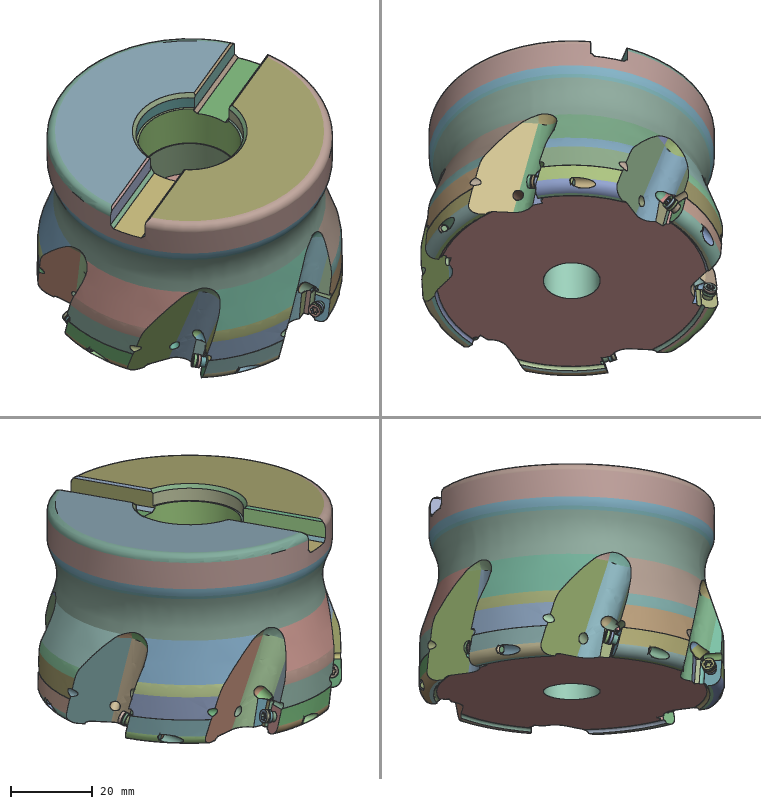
import cadquery as cq
import math

FLUTES = 6
PITCH_ANGLE = 360 / FLUTES

HEIGHT = 49.25
RIM_RADIUS = 37.4
CAP_RIM_STEP = 0.1
RIM_STEP_Z = 6.9
RIM_FILLET = 2.55
COLLAR_RADIUS = 35.0
COLLAR_FILLET = 2.0
COLLAR_LOW_Z = 40.35
WAIST_Z = 31.0
WAIST_RADIUS = 32.6
WAIST_ARC = 15.0
UPPER_CONE_ANGLE = math.radians(25)
LOWER_CONE_ANGLE = math.radians(18.8)
UPPER_CONE_TOP_Z = 38.2
RIM_ARC_TOP_Z = 15.9
RIM_ARC_LOW_Z = 12.8
END_RECESS_RADIUS = 33.15
END_RECESS_DEPTH = 0.8
END_RECESS_FILLET = 0.75

BORE_MOUTH_RADIUS = 13.2
BORE_MOUTH_CHAMFER = 0.9
BORE_MOUTH_DEPTH = 4.1
BORE_RADIUS = 12.65
BORE_UPPER_DEPTH = 15.35
BORE_LOWER_RADIUS = 12.4
BORE_FLOOR_Z = 23.95
BOLT_HOLE_RADIUS = 6.95
BOLT_HOLE_CHAMFER = 0.3

SLOT_WIDTH = 9.35
SLOT_DEPTH = 5.55
SLOT_FLOOR_CHAMFER = 0.9
SLOT_EDGE_CHAMFER = 0.5

FLUTE_FILLET = 4.4
FLUTE_WALL_LEAN = math.radians(19)
FLUTE_SEAM_LOW = cq.Vector(29.9, -5.3, 7.0)
FLUTE_SEAM_TOP = cq.Vector(32.2, 0, 25.1)
FLUTE_FLOOR_SLOPE = 0.34
FLUTE_REACH = 44.9

SEAT_CENTER = cq.Vector(34.9, 1.35, 4.3)
SEAT_TILT = math.radians(14.3)
SEAT_TURN = math.radians(1.2)
SEAT_INNER_RADIUS = 30.8
SEAT_TOP = 3.3
SEAT_BOTTOM = -8.5
SEAT_CLEARANCE = 6.0
SEAT_GROOVE_RADIUS = 0.6
SEAT_GROOVE_X = 32.6
RELIEF_START = cq.Vector(31.65, -0.4, 9.8)
RELIEF_END = cq.Vector(33.15, 1.1, 7.8)
RELIEF_RADIUS = 1.7
TAIL_START = cq.Vector(32.6, 1.8, 7.7)
TAIL_RADIUS = 0.9

SCREW_RADIUS = 1.3
SCREW_HOLE_REACH = 22.45
SCREW_TIP = 8.6
SCREW_TIP_CHAMFER = 0.45
SCREW_HEAD_RADIUS = 1.65
SCREW_NECK_RADIUS = 1.35
SCREW_FLANGE_BASE = 1.35
SCREW_FLANGE_TOP = 2.1
SCREW_HEAD_BASE = 2.3
SCREW_HEAD_TOP = 3.15
SOCKET_RADIUS = 0.75
SOCKET_LOBES = 6
SOCKET_LOBE_RADIUS = 0.3
SOCKET_DEPTH = 0.9

COOLANT_RADIUS = 1.3
COOLANT_ENTRY_RADIUS = 10.85
COOLANT_ENTRY_ANGLE = math.radians(-69)
COOLANT_EXIT = cq.Vector(30.9, -5.6, 4.7)
COOLANT_OVERRUN = 3.0


def rod(start, end, radius):
    """Solid cylinder between two points."""
    axis = end - start
    return cq.Workplane(cq.Solid.makeCylinder(radius, axis.Length, start, axis))


def around(shape, index):
    """Turn a shape about the cutter axis to the flute with this index."""
    return shape.rotate((0, 0, 0), (0, 0, 1), index * PITCH_ANGLE)


def body_blank():
    """Waisted body of revolution, turned about Z."""
    sin_up, cos_up = math.sin(UPPER_CONE_ANGLE), math.cos(UPPER_CONE_ANGLE)
    sin_low, cos_low = math.sin(LOWER_CONE_ANGLE), math.cos(LOWER_CONE_ANGLE)
    upper_cone_low_z = WAIST_Z + WAIST_ARC * sin_up
    upper_cone_low_r = WAIST_RADIUS + WAIST_ARC * (1 - cos_up)
    upper_cone_top_r = upper_cone_low_r + (UPPER_CONE_TOP_Z - upper_cone_low_z) * math.tan(UPPER_CONE_ANGLE)
    lower_cone_top_z = WAIST_Z - WAIST_ARC * sin_low
    lower_cone_top_r = WAIST_RADIUS + WAIST_ARC * (1 - cos_low)
    lower_cone_low_r = lower_cone_top_r + (lower_cone_top_z - RIM_ARC_TOP_Z) * math.tan(LOWER_CONE_ANGLE)
    cap_radius = RIM_RADIUS - CAP_RIM_STEP
    profile = (
        cq.Workplane("XZ")
        .lineTo(RIM_RADIUS - RIM_FILLET, 0)
        .tangentArcPoint((RIM_RADIUS, RIM_FILLET), relative=False)
        .lineTo(RIM_RADIUS, RIM_STEP_Z)
        .lineTo(cap_radius, RIM_STEP_Z)
        .lineTo(cap_radius, RIM_ARC_LOW_Z)
        .tangentArcPoint((lower_cone_low_r, RIM_ARC_TOP_Z), relative=False)
        .lineTo(lower_cone_top_r, lower_cone_top_z)
        .threePointArc((WAIST_RADIUS, WAIST_Z), (upper_cone_low_r, upper_cone_low_z))
        .lineTo(upper_cone_top_r, UPPER_CONE_TOP_Z)
        .tangentArcPoint((COLLAR_RADIUS, COLLAR_LOW_Z), relative=False)
        .lineTo(COLLAR_RADIUS, HEIGHT - COLLAR_FILLET)
        .tangentArcPoint((COLLAR_RADIUS - COLLAR_FILLET, HEIGHT), relative=False)
        .lineTo(0, HEIGHT)
        .close()
    )
    return profile.revolve(360, (0, 0, 0), (0, 1, 0))


def end_recess():
    """Shallow recess in the cutting end, with a rounded rim."""
    mouth_radius = END_RECESS_RADIUS + END_RECESS_FILLET
    profile = (
        cq.Workplane("XZ")
        .lineTo(mouth_radius, 0)
        .radiusArc((END_RECESS_RADIUS, END_RECESS_FILLET), -END_RECESS_FILLET)
        .lineTo(END_RECESS_RADIUS, END_RECESS_DEPTH)
        .lineTo(0, END_RECESS_DEPTH)
        .close()
    )
    return profile.revolve(360, (0, 0, 0), (0, 1, 0))


def bore():
    """Stepped arbor bore with a bolt hole through its floor."""
    mouth_z = HEIGHT - BORE_MOUTH_DEPTH
    step_z = HEIGHT - BORE_UPPER_DEPTH
    profile = (
        cq.Workplane("XZ")
        .lineTo(BOLT_HOLE_RADIUS, 0)
        .lineTo(BOLT_HOLE_RADIUS, BORE_FLOOR_Z - BOLT_HOLE_CHAMFER)
        .lineTo(BOLT_HOLE_RADIUS + BOLT_HOLE_CHAMFER, BORE_FLOOR_Z)
        .lineTo(BORE_LOWER_RADIUS, BORE_FLOOR_Z)
        .lineTo(BORE_LOWER_RADIUS, step_z)
        .lineTo(BORE_RADIUS, step_z)
        .lineTo(BORE_RADIUS, mouth_z)
        .lineTo(BORE_MOUTH_RADIUS, mouth_z)
        .lineTo(BORE_MOUTH_RADIUS, HEIGHT - BORE_MOUTH_CHAMFER)
        .lineTo(BORE_MOUTH_RADIUS + BORE_MOUTH_CHAMFER, HEIGHT)
        .lineTo(0, HEIGHT)
        .close()
    )
    return profile.revolve(360, (0, 0, 0), (0, 1, 0))


def drive_slot():
    """Slot across the mounting face along Y, chamfered at floor and edges."""
    half = SLOT_WIDTH / 2
    floor_z = HEIGHT - SLOT_DEPTH
    return (
        cq.Workplane("XZ")
        .moveTo(-half + SLOT_FLOOR_CHAMFER, floor_z)
        .lineTo(half - SLOT_FLOOR_CHAMFER, floor_z)
        .lineTo(half, floor_z + SLOT_FLOOR_CHAMFER)
        .lineTo(half, HEIGHT - SLOT_EDGE_CHAMFER)
        .lineTo(half + SLOT_EDGE_CHAMFER, HEIGHT)
        .lineTo(-half - SLOT_EDGE_CHAMFER, HEIGHT)
        .lineTo(-half, HEIGHT - SLOT_EDGE_CHAMFER)
        .lineTo(-half, floor_z + SLOT_FLOOR_CHAMFER)
        .close()
        .extrude(RIM_RADIUS, both=True)
    )


def flute():
    """Chip flute: flat floor, leaning wall and sloping top, joined by ball-nose fillets."""
    axis = (FLUTE_SEAM_TOP - FLUTE_SEAM_LOW).normalized()
    floor_direction = cq.Vector(-FLUTE_FLOOR_SLOPE, 1, 0)
    outward = floor_direction.cross(axis).normalized()
    across = axis.cross(outward)
    floor = cq.Plane(FLUTE_SEAM_TOP, xDir=across, normal=outward)

    level_slope = -across.z / axis.z
    top_offset = FLUTE_FILLET * math.hypot(1, level_slope)

    def top_at(position):
        return top_offset + position * level_slope

    corner_angle = math.pi / 2 - FLUTE_WALL_LEAN
    wall_base = FLUTE_FILLET / math.tan(corner_angle / 2)
    wall_rim = wall_base - FLUTE_REACH * math.tan(FLUTE_WALL_LEAN)

    def outline(wall):
        return [
            (wall, -FLUTE_REACH),
            (wall, top_at(wall)),
            (-FLUTE_REACH, top_at(-FLUTE_REACH)),
            (-FLUTE_REACH, -FLUTE_REACH),
        ]

    tool = (
        cq.Workplane(floor)
        .polyline(outline(wall_base))
        .close()
        .workplane(offset=FLUTE_REACH)
        .polyline(outline(wall_rim))
        .close()
        .loft(ruled=True)
    )
    corner = floor.toWorldCoords((wall_base, top_at(wall_base), 0))
    corner_edges = [
        edge for edge in tool.edges().vals()
        if min((vertex.Center() - corner).Length for vertex in edge.Vertices()) < FLUTE_FILLET
    ]
    return tool.newObject(corner_edges).fillet(FLUTE_FILLET)


def seat_plane(offset=0):
    """Plane parallel to the insert seat; Z is the screw axis, X points radially out."""
    turn_sin = math.sin(SEAT_TURN)
    turn_cos = math.cos(SEAT_TURN)
    normal = cq.Vector(-turn_sin * math.cos(SEAT_TILT), -turn_cos * math.cos(SEAT_TILT), math.sin(SEAT_TILT))
    return cq.Plane(SEAT_CENTER + normal * offset, xDir=(turn_cos, -turn_sin, 0), normal=normal)


def insert_pocket():
    """Seat pocket with a corner groove, a ball-nosed relief above and a rounded top edge."""
    inner = SEAT_INNER_RADIUS - SEAT_CENTER.x
    outer = RIM_RADIUS - SEAT_CENTER.x + SEAT_CLEARANCE
    pocket = (
        cq.Workplane(seat_plane())
        .moveTo(inner, SEAT_BOTTOM)
        .lineTo(outer, SEAT_BOTTOM)
        .lineTo(outer, SEAT_TOP)
        .lineTo(inner, SEAT_TOP)
        .close()
        .extrude(SEAT_CLEARANCE)
    )
    groove_x = SEAT_GROOVE_X - SEAT_CENTER.x
    groove = rod(
        seat_plane().toWorldCoords((groove_x, SEAT_BOTTOM, 0)),
        seat_plane().toWorldCoords((groove_x, SEAT_TOP, 0)),
        SEAT_GROOVE_RADIUS,
    )
    relief = rod(RELIEF_START, RELIEF_END, RELIEF_RADIUS)
    relief_nose = cq.Workplane("XY").sphere(RELIEF_RADIUS).translate(RELIEF_START)
    tail = rod(TAIL_START, TAIL_START + cq.Vector(SEAT_CLEARANCE, 0, 0), TAIL_RADIUS)
    return [pocket, groove, relief, relief_nose, tail]


def screw_hole():
    """Straight drilling along the screw axis; it also nicks the back of the next tooth."""
    return cq.Workplane(seat_plane()).circle(SCREW_RADIUS).extrude(SCREW_HOLE_REACH, both=True)


def coolant_channel():
    """Slanted drilling from the bore floor to the flute."""
    entry = cq.Vector(
        COOLANT_ENTRY_RADIUS * math.cos(COOLANT_ENTRY_ANGLE),
        COOLANT_ENTRY_RADIUS * math.sin(COOLANT_ENTRY_ANGLE),
        BORE_FLOOR_Z,
    )
    overrun = (COOLANT_EXIT - entry).normalized() * COOLANT_OVERRUN
    return rod(entry - overrun, COOLANT_EXIT + overrun, COOLANT_RADIUS)


def cutter_body():
    body = body_blank().cut(end_recess()).cut(bore()).cut(drive_slot())
    tools = [flute(), *insert_pocket(), screw_hole(), coolant_channel()]
    for index in range(FLUTES):
        for tool in tools:
            body = body.cut(around(tool, index))
    return body


def clamping_screw():
    """Insert screw: shank in the body, flange, neck and head with a lobed socket."""
    shank_end = SCREW_TIP_CHAMFER - SCREW_TIP
    profile = [
        (0, -SCREW_TIP),
        (SCREW_RADIUS - SCREW_TIP_CHAMFER, -SCREW_TIP),
        (SCREW_RADIUS, shank_end),
        (SCREW_RADIUS, SCREW_FLANGE_BASE),
        (SCREW_HEAD_RADIUS, SCREW_FLANGE_BASE),
        (SCREW_HEAD_RADIUS, SCREW_FLANGE_TOP),
        (SCREW_NECK_RADIUS, SCREW_FLANGE_TOP),
        (SCREW_NECK_RADIUS, SCREW_HEAD_BASE),
        (SCREW_HEAD_RADIUS, SCREW_HEAD_BASE),
        (SCREW_HEAD_RADIUS, SCREW_HEAD_TOP),
        (0, SCREW_HEAD_TOP),
    ]
    plane = seat_plane()
    side = cq.Plane(plane.origin, xDir=plane.xDir, normal=plane.yDir * -1)
    screw = cq.Workplane(side).polyline(profile).close().revolve(360, (0, 0, 0), (0, 1, 0))
    top = cq.Workplane(seat_plane(SCREW_HEAD_TOP))
    socket = top.circle(SOCKET_RADIUS).extrude(-SOCKET_DEPTH)
    lobes = (
        top.polarArray(SOCKET_RADIUS, 0, 360, SOCKET_LOBES)
        .circle(SOCKET_LOBE_RADIUS)
        .extrude(-SOCKET_DEPTH)
    )
    return screw.cut(socket).cut(lobes)


body = cutter_body()
screw = clamping_screw()
screws = [around(screw, index) for index in range(FLUTES)]

result = cq.Compound.makeCompound([body.val(), *[item.val() for item in screws]])